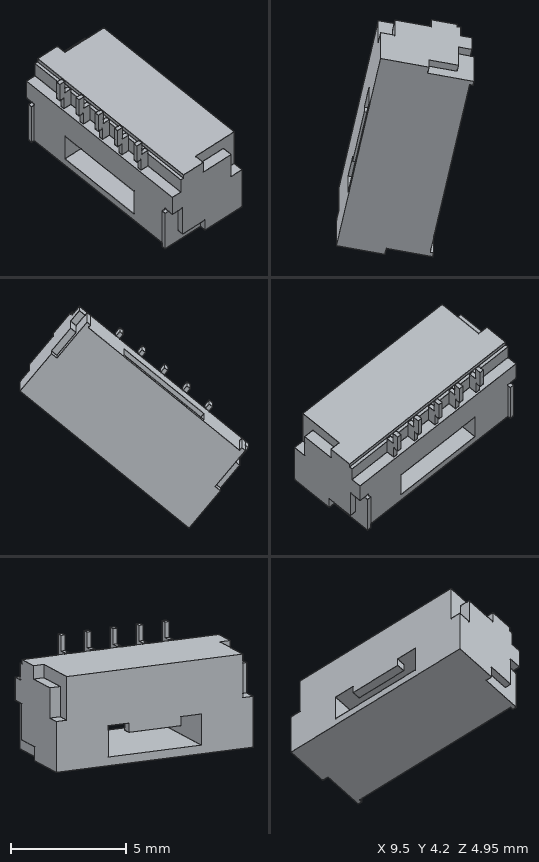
import cadquery as cq

housing_width = 9.5
overall_depth = 4.2
overall_height = 4.95
housing_height = 4.25
front_overhang = 0.15

ledge_height = 3.3
step_face_y = 0.65
groove_depth = 0.2
groove_back_y = 0.8

pin_count = 5
pin_pitch = 1.25
pin_width = 0.2
pin_stem_front_y = 0.25
pin_foot_thickness = 0.29
pin_foot_bottom = 3.95

notch_inset = 0.5
rear_notch_leg = 0.64
rear_notch_length = 2.25
rear_notch_thickness = 0.6
rear_notch_drop = 1.96
front_notch_back_y = 0.75
front_notch_top = 2.25
front_notch_foot_back_y = 2.05
front_notch_foot_height = 0.64

tab_thickness = 0.2
tab_gap = 0.06

window_width = 4.48
window_bottom = 0.4
window_top = 1.8
lip_width = 2.51
lip_drop = 0.41
lip_depth = lip_drop


def extrude_across(points, x_start, width):
    """Extrude a closed (y, z) outline along +X from x_start."""
    return cq.Workplane("YZ", origin=(x_start, 0, 0)).polyline(points).close().extrude(width)


def block(width, y_start, y_end, z_start, z_end):
    """Box centred on X between the given Y and Z limits."""
    corner = (-width / 2, y_start, z_start)
    return cq.Workplane("XY", origin=corner).box(
        width, y_end - y_start, z_end - z_start, centered=False
    )


def make_housing():
    outline = [
        (front_overhang, 0),
        (overall_depth, 0),
        (overall_depth, housing_height),
        (groove_back_y, housing_height),
        (groove_back_y, housing_height - groove_depth),
        (step_face_y, housing_height - groove_depth),
        (step_face_y, ledge_height),
        (front_overhang, ledge_height),
    ]
    return extrude_across(outline, -housing_width / 2, housing_width)


def rear_notch_outline():
    back = overall_depth
    top = housing_height
    return [
        (back, top),
        (back, top - rear_notch_drop),
        (back - rear_notch_leg, top - rear_notch_drop),
        (back - rear_notch_leg, top - rear_notch_thickness),
        (back - rear_notch_length, top - rear_notch_thickness),
        (back - rear_notch_length, top),
    ]


def front_l_outline(top):
    """L profile of the front notch and its tab, up to the given height."""
    return [
        (0, 0),
        (front_notch_foot_back_y, 0),
        (front_notch_foot_back_y, front_notch_foot_height),
        (front_notch_back_y, front_notch_foot_height),
        (front_notch_back_y, top),
        (0, top),
    ]


def make_pin(x_center):
    outline = [
        (pin_stem_front_y, ledge_height),
        (step_face_y, ledge_height),
        (step_face_y, housing_height),
        (pin_foot_thickness, housing_height),
        (pin_foot_thickness, overall_height),
        (0, overall_height),
        (0, pin_foot_bottom),
        (pin_stem_front_y, pin_foot_bottom),
    ]
    return extrude_across(outline, x_center - pin_width / 2, pin_width)


result = make_housing()
result = result.cut(block(window_width, front_overhang, overall_depth, window_bottom, window_top))
lip_front_y = overall_depth - lip_depth
result = result.union(block(lip_width, lip_front_y, overall_depth, window_top - lip_drop, window_top))

notch_wall_x = housing_width / 2 - notch_inset
front_tab_top = front_notch_top - tab_gap
for notch_x, tab_x in (
    (-housing_width / 2, -notch_wall_x - tab_thickness),
    (notch_wall_x, notch_wall_x),
):
    result = result.cut(extrude_across(rear_notch_outline(), notch_x, notch_inset))
    result = result.cut(extrude_across(front_l_outline(front_notch_top), notch_x, notch_inset))
    result = result.union(extrude_across(front_l_outline(front_tab_top), tab_x, tab_thickness))

for index in range(pin_count):
    pin_x = (index - (pin_count - 1) / 2) * pin_pitch
    result = result.union(make_pin(pin_x))